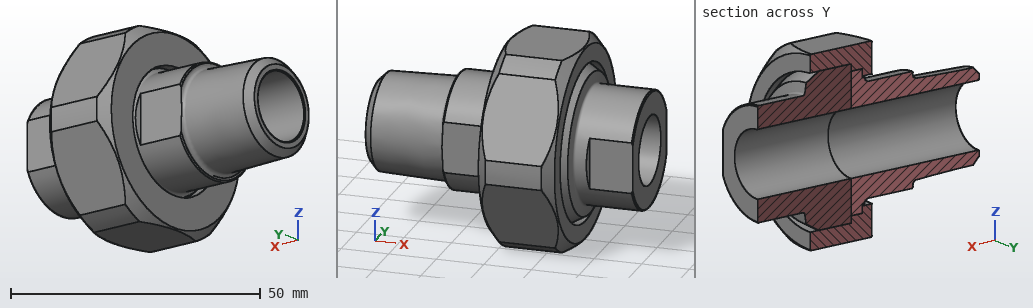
import cadquery as cq
import math


total_length = 57.0
bore_dia = 14.5
body_dia = 24.5
flat_width = 22.0
flat_wall_tilt = 15.0

nut_start = 27.5
nut_length = 16.0
nut_end = nut_start + nut_length
nut_flats = 41.0
nut_corner_dia = 44.68
nut_face_dia = 40.5
nut_chamfer = (nut_corner_dia - nut_face_dia) / 2
nut_neck_dia = 27.0
nut_neck_length = 2.5
shoulder = nut_start + nut_neck_length
thread_dia = 33.1

pipe_chamfer = 1.6
pipe_start_dia = 20.4
pipe_end = 16.2
pipe_taper = 1 / 16
pipe_end_dia = pipe_start_dia + pipe_taper * (pipe_end - pipe_chamfer)
step_fillet = 0.8
step_face = pipe_end + step_fillet
step_chamfer = 0.3
mouth_dia = 14.95
mouth_chamfer = (mouth_dia - bore_dia) / 2
tail_flat_end = 27.5
collar_dia = 26.5
collar_fillet = (collar_dia - body_dia) / 2
collar_start = 29.4
flange_dia = 30.29
flange_length = 3.0
joint = shoulder + flange_length

cone_end = 44.5
cone_end_dia = 29.5
cone_angle = 30.0
cone_start = cone_end - (thread_dia - cone_end_dia) / 2 / math.tan(math.radians(cone_angle))
relief_end = 44.85
root_fillet = 0.5
end_chamfer = 0.25
end_flat_start = 47.95


def revolve_profile(profile):
    """Turn a closed profile, drawn as (x, radius), about the X axis."""
    return profile.close().revolve(360, (0, 0, 0), (1, 0, 0))


def flat_cutter(wall_x, far_x):
    """Blocks that mill a pair of wrench flats from far_x up to a tilted wall at wall_x."""
    flat = flat_width / 2
    outside = body_dia
    direction = math.copysign(1, wall_x - far_x)
    wall_run = direction * (outside - flat) * math.tan(math.radians(flat_wall_tilt))
    block = (
        cq.Workplane("XY")
        .polyline([(far_x, flat), (wall_x, flat), (wall_x + wall_run, outside), (far_x, outside)])
        .close()
        .extrude(body_dia, both=True)
    )
    return block.union(block.mirror("XZ"))


def make_tailpiece():
    bore = bore_dia / 2
    body = body_dia / 2
    pipe_root = pipe_end_dia / 2
    profile = (
        cq.Workplane("XY")
        .moveTo(0, mouth_dia / 2)
        .lineTo(0, pipe_start_dia / 2 - pipe_chamfer)
        .lineTo(pipe_chamfer, pipe_start_dia / 2)
        .lineTo(pipe_end, pipe_root)
        .radiusArc((step_face, pipe_root + step_fillet), -step_fillet)
        .lineTo(step_face, body - step_chamfer)
        .lineTo(step_face + step_chamfer, body)
        .lineTo(collar_start - collar_fillet, body)
        .radiusArc((collar_start, collar_dia / 2), -collar_fillet)
        .lineTo(shoulder, collar_dia / 2)
        .lineTo(shoulder, flange_dia / 2)
        .lineTo(joint, flange_dia / 2)
        .lineTo(joint, bore)
        .lineTo(mouth_chamfer, bore)
    )
    return revolve_profile(profile).cut(flat_cutter(tail_flat_end, pipe_end))


def make_end_piece():
    bore = bore_dia / 2
    body = body_dia / 2
    profile = (
        cq.Workplane("XY")
        .moveTo(joint, bore)
        .lineTo(joint, thread_dia / 2)
        .lineTo(cone_start, thread_dia / 2)
        .lineTo(cone_end, cone_end_dia / 2)
        .lineTo(relief_end, body + root_fillet)
        .radiusArc((relief_end + root_fillet, body), -root_fillet)
        .lineTo(total_length - end_chamfer, body)
        .lineTo(total_length, body - end_chamfer)
        .lineTo(total_length, bore)
    )
    return revolve_profile(profile).cut(flat_cutter(end_flat_start, total_length))


def make_nut():
    hexagon = (
        cq.Workplane("YZ", origin=(nut_start, 0, 0))
        .polygon(6, nut_flats, circumscribed=True)
        .extrude(nut_length)
        .rotate((0, 0, 0), (1, 0, 0), 90)
    )
    turned_blank = (
        cq.Workplane("YZ", origin=(nut_start, 0, 0))
        .circle(nut_corner_dia / 2)
        .extrude(nut_length)
        .edges()
        .chamfer(nut_chamfer)
    )
    cavity_profile = (
        cq.Workplane("XY")
        .moveTo(nut_start, 0)
        .lineTo(nut_start, nut_neck_dia / 2)
        .lineTo(shoulder, nut_neck_dia / 2)
        .lineTo(shoulder, flange_dia / 2)
        .lineTo(joint, flange_dia / 2)
        .lineTo(joint, thread_dia / 2)
        .lineTo(nut_end, thread_dia / 2)
        .lineTo(nut_end, 0)
    )
    return hexagon.intersect(turned_blank).cut(revolve_profile(cavity_profile))


tailpiece = make_tailpiece()
nut = make_nut()
end_piece = make_end_piece()

result = cq.Compound.makeCompound([tailpiece.val(), nut.val(), end_piece.val()])